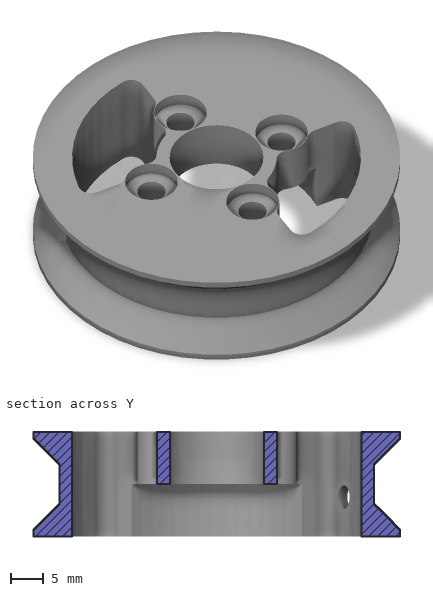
import cadquery as cq
import math

rim_diameter = 56.0
core_diameter = 48.0
height = 16.0
rim_land = 1.0
flange_depth = (rim_diameter - core_diameter) / 2

bore_diameter = 14.3
hub_wall = 2.0
screw_offset = 8.0
screw_diameter = 4.3
counterbore_diameter = 8.0
counterbore_depth = 2.0
boss_diameter = 8.2

recess_diameter = 33.0
recess_depth = height / 2

window_outer_radius = 22.0
spoke_half_width = 2.0
window_fillet = 1.95

cord_diameter = 3.6
cord_height = -2.0
cord_angle = 45.0
cord_offset = 6.4


def make_body():
    rim = rim_diameter / 2
    core = core_diameter / 2
    top = height / 2
    land_edge = top - rim_land
    groove_edge = land_edge - flange_depth
    profile = [
        (0, -top),
        (rim, -top),
        (rim, -land_edge),
        (core, -groove_edge),
        (core, groove_edge),
        (rim, land_edge),
        (rim, top),
        (0, top),
    ]
    return cq.Workplane("XZ").polyline(profile).close().revolve(360, (0, 0), (0, 1))


def make_cylinder(diameter):
    return cq.Workplane("XY").circle(diameter / 2).extrude(height / 2, both=True)


def make_window():
    """Window on the +X side, bounded by the hub, two screw bosses and two diagonals."""
    apex = spoke_half_width * math.sqrt(2)
    reach = rim_diameter / 2
    wedge = (
        cq.Workplane("XY")
        .polyline([(apex, 0), (apex + reach, reach), (apex + reach, -reach)])
        .close()
        .extrude(height / 2, both=True)
    )
    window = wedge.intersect(make_cylinder(2 * window_outer_radius))
    window = window.cut(make_cylinder(bore_diameter + 2 * hub_wall))
    for side in (-1, 1):
        boss = make_cylinder(boss_diameter).translate((screw_offset, side * screw_offset, 0))
        window = window.cut(boss)
    return window.edges("|Z").fillet(window_fillet)


def make_cord_hole():
    """Horizontal hole through the core wall on the +X side, opening into the window."""
    return (
        cq.Workplane("YZ")
        .center(-cord_offset, cord_height)
        .circle(cord_diameter / 2)
        .extrude(rim_diameter / 2)
        .rotate((0, 0, 0), (0, 0, 1), cord_angle)
    )


def make_recess():
    floor = cq.Workplane("XY", origin=(0, 0, -height / 2))
    return floor.circle(recess_diameter / 2).extrude(recess_depth)


window = make_window()
cord_hole = make_cord_hole()
result = (
    make_body()
    .cut(make_cylinder(bore_diameter))
    .cut(window)
    .cut(window.mirror("YZ"))
    .faces(">Z")
    .workplane(origin=(0, 0, height / 2))
    .rect(2 * screw_offset, 2 * screw_offset, forConstruction=True)
    .vertices()
    .cboreHole(screw_diameter, counterbore_diameter, counterbore_depth)
    .cut(make_recess())
    .cut(cord_hole)
    .cut(cord_hole.rotate((0, 0, 0), (0, 0, 1), 180))
)